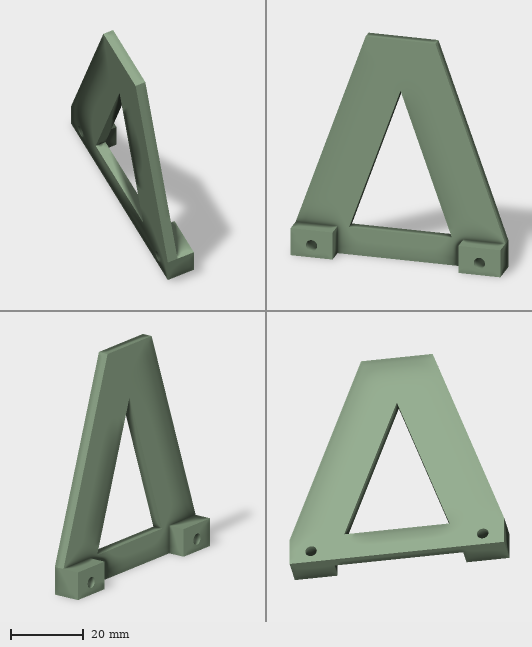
import cadquery as cq

base_width = 60.0
top_width = 20.0
height = 65.0
base_height = 8.0
plate_thickness = 3.0

window_apex_z = 50.0
edge_slope = (base_width - top_width) / 2 / (height - base_height)
window_half_width = (window_apex_z - base_height) * edge_slope

foot_width = 12.0
total_depth = 8.0
hole_diameter = 3.2
hole_z = 3.5
foot_center_x = (base_width - foot_width) / 2


def extrude_back(outline, depth):
    """Extrude a closed XZ outline from Y = 0 toward +Y."""
    return cq.Workplane("XZ").polyline(outline).close().extrude(-depth)


def make_plate():
    plate = extrude_back(
        [
            (-base_width / 2, 0),
            (base_width / 2, 0),
            (base_width / 2, base_height),
            (top_width / 2, height),
            (-top_width / 2, height),
            (-base_width / 2, base_height),
        ],
        plate_thickness,
    )
    window = extrude_back(
        [
            (-window_half_width, base_height),
            (window_half_width, base_height),
            (0, window_apex_z),
        ],
        plate_thickness,
    )
    return plate.cut(window)


def make_foot(center_x):
    """Block over the full depth, flush with the plate's front face."""
    return (
        cq.Workplane("XY")
        .box(foot_width, total_depth, base_height, centered=(True, False, False))
        .translate((center_x, 0, 0))
    )


def make_hole(center_x):
    return (
        cq.Workplane("XZ")
        .center(center_x, hole_z)
        .circle(hole_diameter / 2)
        .extrude(-total_depth)
    )


result = make_plate()
for foot_x in (-foot_center_x, foot_center_x):
    result = result.union(make_foot(foot_x))
    result = result.cut(make_hole(foot_x))